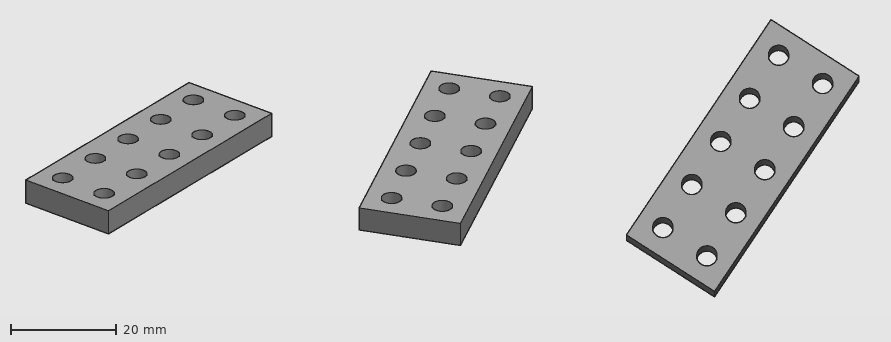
import cadquery as cq

hole_pitch = 10
columns = 2
rows = 5
hole_diameter = 3.9

width = columns * hole_pitch
length = rows * hole_pitch
thickness = hole_pitch / 2

plate = cq.Workplane("XY").box(width, length, thickness)

result = (
    plate.faces(">Z")
    .workplane()
    .rarray(hole_pitch, hole_pitch, columns, rows)
    .hole(hole_diameter)
)